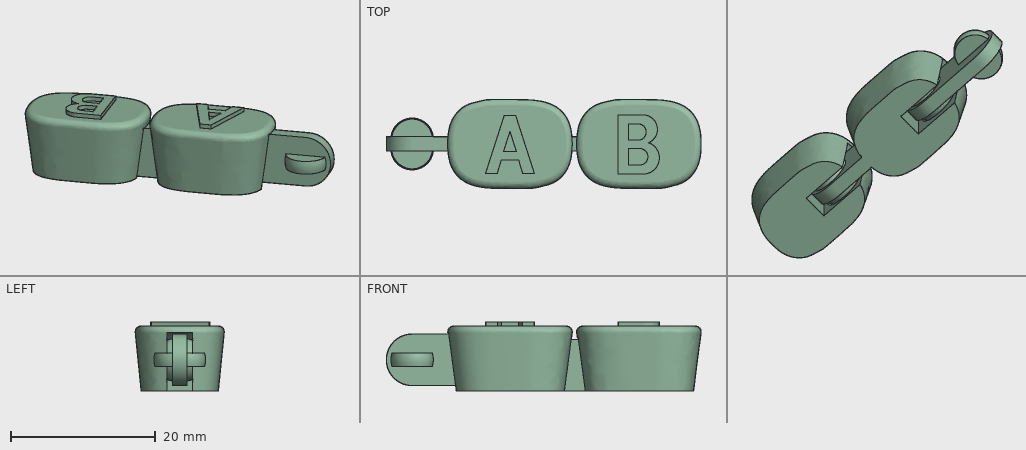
import cadquery as cq
import math

bead_pitch = 17.79
bead_height = 9.0
bead_length = 17.44
bead_width = 12.47
base_length = 15.1
base_width = 10.66
rim_fillet = 0.85
end_fullness = 3.5
side_fullness = 2.4
outline_steps = 12

letter_relief = 0.58
letter_sink = 0.3

arm_thickness = 2.0
arm_radius = 3.57
cap_radius = 2.95
cap_offset = 0.63
free_knob_x = -13.49
free_knob_height = 1.85
link_z = 4.33
bead_arm_z = arm_radius

socket_x = -4.33
slot_width = 3.55
arm_clearance = 0.18
ball_clearance = 0.25


def outline(plane_z, length, width):
    """Superellipse outline: two mirrored curves that meet on the middle of the long sides."""
    right_half = []
    for step in range(outline_steps + 1):
        angle = math.pi * (0.5 - step / outline_steps)
        x = length / 2 * max(math.cos(angle), 0) ** (2 / end_fullness)
        y = width / 2 * math.copysign(abs(math.sin(angle)) ** (2 / side_fullness), angle)
        right_half.append((x, y))
    right_half[0] = (0, width / 2)
    right_half[-1] = (0, -width / 2)
    left_half = [(-x, -y) for x, y in right_half]
    side_tangents = [(1, 0), (-1, 0)]
    return (
        cq.Workplane("XY", origin=(0, 0, plane_z))
        .spline(right_half, tangents=side_tangents)
        .spline(left_half, tangents=[(-1, 0), (1, 0)])
        .close()
    )


def bead_blank():
    """Tapered bead, narrower at its base, with a rounded top rim."""
    base = outline(0, base_length, base_width).wires().val()
    top = outline(bead_height, bead_length, bead_width).wires().val()
    blank = cq.Workplane(cq.Solid.makeLoft([base, top], True))
    return blank.faces(">Z").edges().fillet(rim_fillet)


def disc(x, z, radius, thickness):
    """Disc across Y, centred on the XZ plane."""
    return (
        cq.Workplane("XZ", origin=(x, 0, z))
        .circle(radius)
        .extrude(thickness / 2, both=True)
    )


def bar(x_start, x_end, z_low, z_high, width):
    """Block between two X and two Z limits, centred on the XZ plane."""
    return (
        cq.Workplane("XY", origin=((x_start + x_end) / 2, 0, z_low))
        .rect(x_end - x_start, width)
        .extrude(z_high - z_low)
    )


def ball(x, z, radius):
    """Two equal spheres moved apart along Y, with the gap between them filled."""
    body = disc(x, z, radius, 2 * cap_offset)
    for y in (-cap_offset, cap_offset):
        body = body.union(cq.Workplane("XY", origin=(x, y, z)).sphere(radius))
    return body


def arm_plate(x_start, x_end, z):
    """Straight part of an arm."""
    return bar(x_start, x_end, z - arm_radius, z + arm_radius, arm_thickness)


def arm_end(x, z):
    """Rounded end of an arm."""
    return disc(x, z, arm_radius, arm_thickness)


def socket(z):
    """Round-topped arm slot, open to the left and below, with the ball seat inside it."""
    slot_radius = arm_radius + arm_clearance
    slot = disc(socket_x, z, slot_radius, slot_width)
    slot = slot.union(bar(-bead_length, socket_x, 0, z + slot_radius, slot_width))
    slot = slot.union(bar(socket_x, socket_x + slot_radius, 0, z, slot_width))
    return slot.union(ball(socket_x, z, cap_radius + ball_clearance))


def raised(sketch):
    """Letter shape that stands on the bead top, rooted slightly inside it."""
    return sketch.extrude(letter_sink + letter_relief)


def letter_plane():
    """Plane just below the bead top where the letters are rooted."""
    return cq.Workplane("XY", origin=(0, 0, bead_height - letter_sink))


def letter_a():
    """Straight-sided A with a triangular eye."""
    top, bottom = 3.92, -4.06
    crossbar_top, crossbar_bottom = -1.02, -2.22
    right_side = [(0.79, top), (3.37, bottom), (1.75, bottom), (1.2, crossbar_bottom)]
    left_side = [(-x, y) for x, y in reversed(right_side)]
    eye = [(0, 1.75), (0.88, crossbar_top), (-0.88, crossbar_top)]
    body = raised(letter_plane().polyline(right_side + left_side).close())
    return body.cut(raised(letter_plane().polyline(eye).close()))


def lobe(left, right, bottom, top):
    """D-shaped stroke with a straight left side and a half-round right side."""
    bend_x = right - (top - bottom) / 2
    return raised(
        letter_plane()
        .moveTo(left, bottom)
        .lineTo(bend_x, bottom)
        .threePointArc((right, (top + bottom) / 2), (bend_x, top))
        .lineTo(left, top)
        .close()
    )


def letter_b():
    """B made of two overlapping D-shaped lobes, each with its own eye."""
    outer_left, eye_left = -2.87, -1.43
    body = lobe(outer_left, 2.55, 0, 4.02).union(lobe(outer_left, 2.82, -4.15, 0.3))
    body = body.cut(lobe(eye_left, 1.0, 0.52, 2.78))
    return body.cut(lobe(eye_left, 1.24, -2.91, -0.62))


def end_link():
    """Loose arm: a slab-shaped knob at its free end and a full ball inside the first bead."""
    slab = bar(
        free_knob_x - arm_radius, free_knob_x + arm_radius,
        link_z - free_knob_height / 2, link_z + free_knob_height / 2,
        2 * (cap_radius + cap_offset),
    )
    free_knob = ball(free_knob_x, link_z, cap_radius).intersect(slab)
    link = arm_plate(free_knob_x, socket_x, link_z)
    link = link.union(arm_end(free_knob_x, link_z)).union(arm_end(socket_x, link_z))
    return link.union(free_knob).union(ball(socket_x, link_z, cap_radius))


def first_bead():
    """Bead A: holds the end link and reaches into the next bead with its own arm."""
    next_socket_x = bead_pitch + socket_x
    arm_start = base_length / 4
    bead = bead_blank().cut(socket(link_z)).union(letter_a())
    bead = bead.union(arm_plate(arm_start, next_socket_x, bead_arm_z))
    bead = bead.union(arm_end(next_socket_x, bead_arm_z))
    return bead.union(ball(next_socket_x, bead_arm_z, cap_radius))


def last_bead():
    """Bead B: holds the arm of the first bead."""
    bead = bead_blank().cut(socket(bead_arm_z)).union(letter_b())
    return bead.translate((bead_pitch, 0, 0))


link = end_link()
bead_a = first_bead()
bead_b = last_bead()

result = cq.Compound.makeCompound([link.solids().val(), bead_a.solids().val(), bead_b.solids().val()])